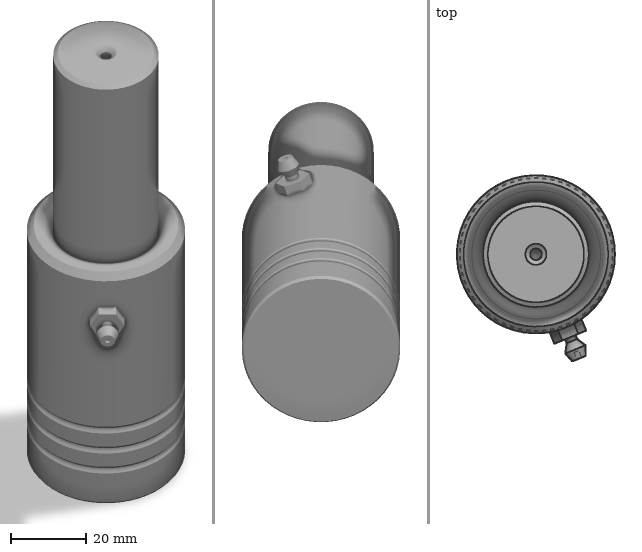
import cadquery as cq
import math

pin_length = 140.0
pin_radius = 14.0
pin_chamfer_width = 1.3
pin_chamfer_height = 0.8
center_hole_radius = 1.5
center_hole_depth = 4.9
drill_point_angle = 120.0
countersink_radius = 2.8
countersink_angle = 100.0

sleeve_radius = 21.0
sleeve_height = 80.0
sleeve_top_chamfer = 1.8
sleeve_bottom_chamfer_width = 0.5
sleeve_bottom_chamfer_height = 0.8
mouth_fillet = 3.1

groove_count = 3
groove_pitch = 7.0
lowest_groove_z = 12.0
groove_width = 2.4
groove_depth = 0.8

nipple_z = 65.0
nipple_direction = -67.5
hex_across_flats = 8.0
hex_seat_distance = 20.3
hex_face_distance = 23.8
neck_radius = 1.5
neck_end_distance = 24.9
head_radius = 3.0
head_distance = 27.3
tip_radius = 2.0
tip_distance = 30.0
grease_hole_radius = 0.7
grease_hole_depth = 2.1


def revolve_profile(profile):
    """Turn a closed (radius, z) profile in the XZ plane about the Z axis."""
    return profile.close().revolve(360, (0, 0, 0), (0, 1, 0))


def make_center_hole():
    """Countersunk blind hole with a conical drill point, opening at the top of the pin."""
    countersink_depth = (countersink_radius - center_hole_radius) / math.tan(math.radians(countersink_angle / 2))
    drill_point_length = center_hole_radius / math.tan(math.radians(drill_point_angle / 2))
    hole_bottom = pin_length - center_hole_depth
    profile = (
        cq.Workplane("XZ")
        .moveTo(0, pin_length)
        .lineTo(countersink_radius, pin_length)
        .lineTo(center_hole_radius, pin_length - countersink_depth)
        .lineTo(center_hole_radius, hole_bottom)
        .lineTo(0, hole_bottom - drill_point_length)
    )
    return revolve_profile(profile)


def make_pin():
    profile = (
        cq.Workplane("XZ")
        .lineTo(pin_radius, 0)
        .lineTo(pin_radius, pin_length - pin_chamfer_height)
        .lineTo(pin_radius - pin_chamfer_width, pin_length)
        .lineTo(0, pin_length)
    )
    return revolve_profile(profile).cut(make_center_hole())


def make_groove_cutter(center_z):
    """Ring of triangular section that cuts one V groove."""
    profile = (
        cq.Workplane("XZ")
        .moveTo(sleeve_radius, center_z - groove_width / 2)
        .lineTo(sleeve_radius, center_z + groove_width / 2)
        .lineTo(sleeve_radius - groove_depth, center_z)
    )
    return revolve_profile(profile)


def make_sleeve(nipple):
    """Bored sleeve with a rounded mouth, V grooves and a recess that seats the nipple's hexagon."""
    profile = (
        cq.Workplane("XZ")
        .moveTo(pin_radius, 0)
        .lineTo(sleeve_radius - sleeve_bottom_chamfer_width, 0)
        .lineTo(sleeve_radius, sleeve_bottom_chamfer_height)
        .lineTo(sleeve_radius, sleeve_height - sleeve_top_chamfer)
        .lineTo(sleeve_radius - sleeve_top_chamfer, sleeve_height)
        .lineTo(pin_radius + mouth_fillet, sleeve_height)
        .radiusArc((pin_radius, sleeve_height - mouth_fillet), -mouth_fillet)
    )
    sleeve = revolve_profile(profile)
    for index in range(groove_count):
        sleeve = sleeve.cut(make_groove_cutter(lowest_groove_z + index * groove_pitch))
    return sleeve.cut(nipple)


def make_nipple():
    """Hexagon, neck and double-cone head, made along Z and then laid in the nipple direction."""
    hexagon = (
        cq.Workplane("XY")
        .workplane(offset=hex_seat_distance)
        .polygon(6, hex_across_flats, circumscribed=True)
        .extrude(hex_face_distance - hex_seat_distance)
    )
    head_profile = (
        cq.Workplane("XZ")
        .moveTo(0, hex_seat_distance)
        .lineTo(neck_radius, hex_seat_distance)
        .lineTo(neck_radius, neck_end_distance)
        .lineTo(head_radius, head_distance)
        .lineTo(tip_radius, tip_distance)
        .lineTo(0, tip_distance)
    )
    grease_hole = (
        cq.Workplane("XY")
        .workplane(offset=tip_distance - grease_hole_depth)
        .circle(grease_hole_radius)
        .extrude(grease_hole_depth)
    )
    return (
        hexagon.union(revolve_profile(head_profile))
        .cut(grease_hole)
        .rotate((0, 0, 0), (0, 1, 0), 90)
        .rotate((0, 0, 0), (0, 0, 1), nipple_direction)
        .translate((0, 0, nipple_z))
    )


pin = make_pin()
nipple = make_nipple()
sleeve = make_sleeve(nipple)

result = cq.Compound.makeCompound([pin.val(), sleeve.val(), nipple.val()])